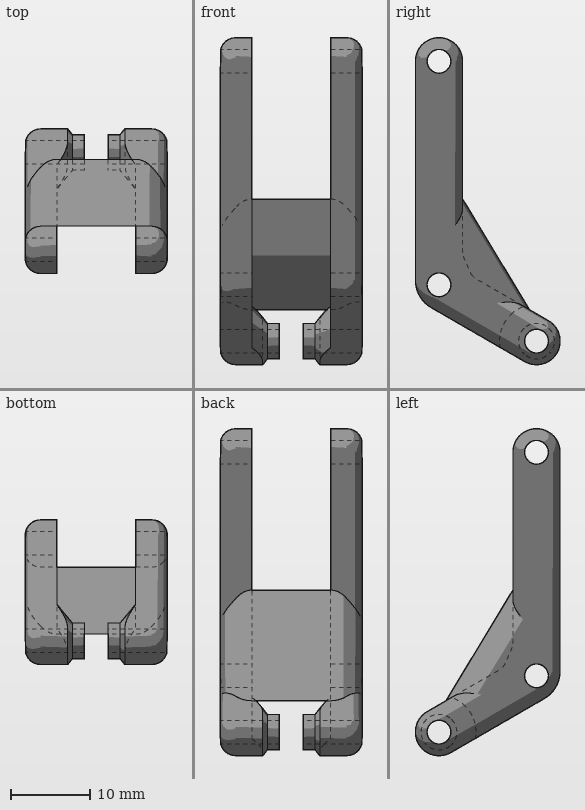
import cadquery as cq
import math

total_width = 18.0
cheek_thickness = 4.0
arm_width = 6.0
arm_round = 2.0
half_width = total_width / 2
gap = total_width - 2 * cheek_thickness
half_gap = gap / 2

upper_length = 28.28
foot_length = 14.25
foot_angle = math.radians(30)
foot_direction = (math.cos(foot_angle), -math.sin(foot_angle))
middle_pin = (0, 0)
upper_pin = (0, upper_length)
foot_pin = (foot_length * foot_direction[0], foot_length * foot_direction[1])
pin_hole_diameter = 3.0

arm_half = arm_width / 2
elbow_half_angle = (math.pi / 2 + foot_angle) / 2
elbow_setback = arm_half / math.tan(elbow_half_angle)
elbow_outer_radius = 4.0

gusset_on_arm = 10.85
gusset_on_foot = 11.5

upper_corner_setback = 2.03
foot_corner_setback = 1.35
web_edge_radius = 2.0

boss_diameter = 4.5
boss_length = 1.5
cone_length = 2.0
cone_base_radius = 4.68


def on_foot(distance, offset=0):
    """Point at a distance along the foot from the middle pin, offset toward the inside of the elbow."""
    along_y, along_z = foot_direction
    return (distance * along_y - offset * along_z, distance * along_z + offset * along_y)


def rounded_cheek():
    """Bent arm around the three pins, with its outer face edges rounded."""
    outer_corner = (-arm_half, -elbow_setback)
    profile = (
        cq.Workplane("YZ", origin=(half_gap, 0, 0))
        .moveTo(*outer_corner)
        .lineTo(*on_foot(foot_length, -arm_half))
        .threePointArc(on_foot(foot_length + arm_half), on_foot(foot_length, arm_half))
        .lineTo(arm_half, elbow_setback)
        .lineTo(arm_half, upper_length)
        .threePointArc((0, upper_length + arm_half), (-arm_half, upper_length))
        .close()
    )
    cheek = profile.extrude(cheek_thickness)
    corner_edge = cq.selectors.NearestToPointSelector((half_gap + cheek_thickness / 2, *outer_corner))
    cheek = cheek.edges("|X").edges(corner_edge).fillet(elbow_outer_radius)
    return cheek.faces(">X").edges().fillet(arm_round)


def foot_bar(x_start, length):
    """Round-ended bar from the middle pin to the foot pin, extruded along X."""
    return (
        cq.Workplane("YZ", origin=(x_start, 0, 0))
        .center(*on_foot(foot_length / 2))
        .slot2D(foot_length + arm_width, arm_width, -math.degrees(foot_angle))
        .extrude(length)
    )


def foot_boss():
    """Cone trimmed to the foot outline, carrying a short round boss."""
    cone_tip_x = half_gap - cone_length
    axis = cq.Vector(1, 0, 0)
    cone = cq.Workplane(
        cq.Solid.makeCone(
            boss_diameter / 2, cone_base_radius, cone_length, cq.Vector(cone_tip_x, *foot_pin), axis
        )
    )
    cone = cone.intersect(foot_bar(cone_tip_x, cone_length))
    boss = (
        cq.Workplane("YZ", origin=(cone_tip_x - boss_length, 0, 0))
        .center(*foot_pin)
        .circle(boss_diameter / 2)
        .extrude(boss_length)
    )
    return cone.union(boss)


def gusset_cheeks():
    """Triangular fill of the elbow with rounded back edges, open between the cheeks."""
    arm_point = (arm_half, gusset_on_arm)
    foot_point = on_foot(gusset_on_foot, arm_half)
    across = foot_point[0] - arm_point[0]
    drop = arm_point[1] - foot_point[1]
    tilt = math.atan2(across, drop)
    arm_reach = gusset_on_arm + arm_half / math.tan(tilt)
    foot_reach = gusset_on_foot + arm_half / math.tan(math.pi - 2 * elbow_half_angle - tilt)
    block = (
        cq.Workplane("YZ", origin=(-half_width, 0, 0))
        .polyline([middle_pin, (0, arm_reach), on_foot(foot_reach)])
        .close()
        .extrude(total_width)
    )
    back_normal = cq.Vector(0, drop, across)
    back = block.faces(cq.selectors.DirectionMinMaxSelector(back_normal, True))
    block = back.edges("<X or >X").fillet(cheek_thickness)
    return block.cut(cq.Workplane().box(gap, 2 * foot_reach, 2 * arm_reach))


def web():
    """Wedge between the cheeks, bounded by the arm back edges and the gusset back face."""
    upper_corner = (arm_half, elbow_setback + upper_corner_setback)
    foot_corner = on_foot(elbow_setback + foot_corner_setback, arm_half)
    wedge = (
        cq.Workplane("YZ", origin=(-half_gap, 0, 0))
        .polyline([upper_corner, (arm_half, gusset_on_arm), on_foot(gusset_on_foot, arm_half), foot_corner])
        .close()
        .extrude(gap)
    )
    for corner in (upper_corner, foot_corner):
        edge = cq.selectors.NearestToPointSelector((0, *corner))
        wedge = wedge.edges("|X").edges(edge).fillet(web_edge_radius)
    return wedge


def pin_holes():
    return (
        cq.Workplane("YZ", origin=(-half_width, 0, 0))
        .pushPoints([middle_pin, upper_pin, foot_pin])
        .circle(pin_hole_diameter / 2)
        .extrude(total_width)
    )


side = rounded_cheek().union(foot_boss())
body = gusset_cheeks().union(side).union(side.mirror("YZ")).union(web())
result = body.cut(pin_holes())